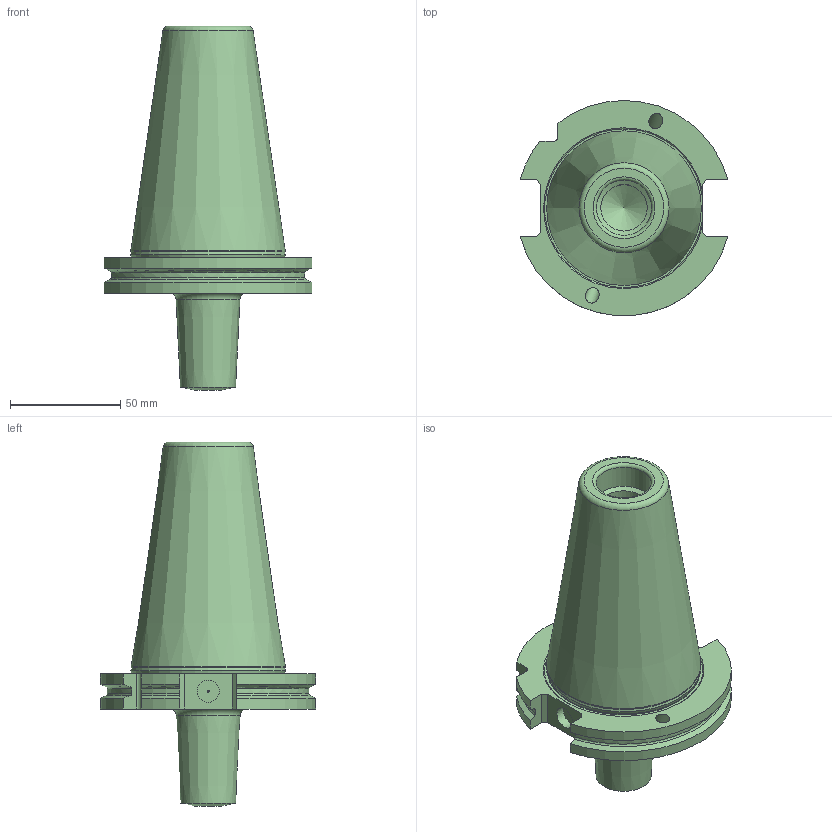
import cadquery as cq
import math


gauge_radius = 69.85 / 2
taper_length = 101.75
taper_slope = 7 / 48
taper_edge_fillet = 2.5

gauge_land = 0.5
neck_radius = 34.6
rib_radius = 35.0
rib_depth = 1.7
undercut_depth = 0.5
undercut_floor_radius = 35.9
undercut_mouth_radius = 36.4

flange_radius = 97.5 / 2
flange_top = -3.2
flange_thickness = 15.9
groove_center = -11.05
groove_floor_radius = 45.65
groove_half_width = 3.15
groove_flank_angle = 25.0
groove_floor_fillet = 1.0

keyway_width = 25.7
keyway_floor_left = 37.7
keyway_floor_right = 35.5
keyway_corner_chamfer = 2.0
notch_x = -29.9
notch_y = 30.3
notch_corner_fillet = 2.0

side_hole_diameter = 10.0
side_hole_depth = 4.0
center_mark_diameter = 0.8
center_mark_depth = 1.0

coolant_hole_diameter = 6.1
coolant_hole_circle_radius = 42.0
coolant_hole_position = 70.0
coolant_hole_tilt = 30.0

pilot_radius = 12.5
pilot_depth = 12.0
pilot_mouth_fillet = 1.5
thread_radius = 10.5
thread_lead_in = 1.15
thread_depth = 50.0
drill_point_angle = 118.0

nose_length = 63.0
nose_root_radius = 14.6
nose_tip_radius = 12.5
nose_root_fillet = 3.0
nose_cone_height = 1.3
nose_end_radius = 6.1

flange_bottom = flange_top - flange_thickness
nose_cone_start = nose_cone_height - nose_length


def taper_body():
    small_end_radius = gauge_radius - taper_length * taper_slope
    taper = (
        cq.Workplane("XZ")
        .moveTo(0, taper_length)
        .lineTo(small_end_radius, taper_length)
        .lineTo(gauge_radius, 0)
        .lineTo(gauge_radius, -gauge_land)
        .lineTo(neck_radius, -gauge_land)
        .lineTo(rib_radius, -rib_depth)
        .lineTo(neck_radius, flange_top)
        .lineTo(neck_radius, flange_bottom)
        .lineTo(0, flange_bottom)
        .close()
        .revolve(360, (0, 0, 0), (0, 1, 0))
    )
    return taper.faces(">Z").edges().fillet(taper_edge_fillet)


def flange():
    disc = (
        cq.Workplane("XY")
        .workplane(offset=flange_bottom)
        .circle(flange_radius)
        .extrude(flange_thickness)
    )
    undercut_floor = flange_top - undercut_depth
    undercut = (
        cq.Workplane("XZ")
        .moveTo(0, undercut_floor)
        .lineTo(undercut_floor_radius, undercut_floor)
        .lineTo(undercut_mouth_radius, flange_top)
        .lineTo(0, flange_top)
        .close()
        .revolve(360, (0, 0, 0), (0, 1, 0))
    )
    return disc.cut(undercut).cut(gripper_groove())


def gripper_groove():
    flank = math.radians(groove_flank_angle)
    floor_half_width = groove_half_width - (flange_radius - groove_floor_radius) * math.tan(flank)
    ring = (
        cq.Workplane("XZ")
        .moveTo(flange_radius, groove_center + groove_half_width)
        .lineTo(groove_floor_radius, groove_center + floor_half_width)
        .lineTo(groove_floor_radius, groove_center - floor_half_width)
        .lineTo(flange_radius, groove_center - groove_half_width)
        .close()
        .revolve(360, (0, 0, 0), (0, 1, 0))
    )
    floor_edges = cq.selectors.RadiusNthSelector(0)
    return ring.edges(floor_edges).fillet(groove_floor_fillet)


def nose():
    flare = nose_root_fillet
    side_slope = math.atan2(nose_root_radius - nose_tip_radius, flange_bottom - nose_cone_start)
    tangent_length = flare * math.tan((math.pi / 2 - side_slope) / 2)
    side_tangent_radius = nose_root_radius - tangent_length * math.sin(side_slope)
    side_tangent_z = flange_bottom - tangent_length * math.cos(side_slope)
    return (
        cq.Workplane("XZ")
        .moveTo(0, flange_bottom)
        .lineTo(nose_root_radius + tangent_length, flange_bottom)
        .radiusArc((side_tangent_radius, side_tangent_z), -flare)
        .lineTo(nose_tip_radius, nose_cone_start)
        .lineTo(nose_end_radius, -nose_length)
        .lineTo(0, -nose_length)
        .close()
        .revolve(360, (0, 0, 0), (0, 1, 0))
    )


def keyway(side, floor_distance):
    """Slot open to the rim, on the side given by the sign of X."""
    length = flange_radius - floor_distance
    slot = (
        cq.Workplane("XY")
        .box(length, keyway_width, flange_thickness)
        .translate((side * (floor_distance + length / 2), 0, (flange_top + flange_bottom) / 2))
    )
    inner_edges = "|Z and <X" if side > 0 else "|Z and >X"
    return slot.edges(inner_edges).chamfer(keyway_corner_chamfer)


def index_notch():
    notch = (
        cq.Workplane("XY")
        .workplane(offset=flange_bottom)
        .moveTo(notch_x, notch_y)
        .rect(-flange_radius, flange_radius, centered=False)
        .extrude(flange_thickness)
    )
    return notch.edges("|Z and >X and <Y").fillet(notch_corner_fillet)


def side_hole():
    """Flat-bottomed radial hole with a small mark at the center of its floor."""
    return (
        cq.Workplane("YZ", origin=(-keyway_floor_left, 0, groove_center))
        .circle(side_hole_diameter / 2)
        .extrude(side_hole_depth)
        .faces(">X")
        .workplane()
        .circle(center_mark_diameter / 2)
        .extrude(center_mark_depth)
    )


def coolant_hole(angle):
    """Hole through the flange that leans towards the tool axis as it goes down."""
    overshoot = coolant_hole_diameter
    through_length = flange_thickness / math.cos(math.radians(coolant_hole_tilt))
    hole = (
        cq.Workplane("XY")
        .workplane(offset=overshoot)
        .circle(coolant_hole_diameter / 2)
        .extrude(-through_length - 2 * overshoot)
        .rotate((0, 0, 0), (0, 1, 0), coolant_hole_tilt)
        .translate((coolant_hole_circle_radius, 0, flange_top))
    )
    return hole.rotate((0, 0, 0), (0, 0, 1), angle)


def pull_stud_bore():
    pilot_floor = taper_length - pilot_depth
    pilot = (
        cq.Workplane("XZ")
        .moveTo(0, taper_length)
        .lineTo(pilot_radius + pilot_mouth_fillet, taper_length)
        .radiusArc((pilot_radius, taper_length - pilot_mouth_fillet), -pilot_mouth_fillet)
        .lineTo(pilot_radius, pilot_floor)
        .lineTo(thread_radius, pilot_floor - thread_lead_in)
        .lineTo(0, pilot_floor - thread_lead_in)
        .close()
        .revolve(360, (0, 0, 0), (0, 1, 0))
    )
    thread_floor = taper_length - thread_depth
    point_length = thread_radius / math.tan(math.radians(drill_point_angle / 2))
    thread = (
        cq.Workplane("XZ")
        .moveTo(0, taper_length)
        .lineTo(thread_radius, taper_length)
        .lineTo(thread_radius, thread_floor)
        .lineTo(0, thread_floor - point_length)
        .close()
        .revolve(360, (0, 0, 0), (0, 1, 0))
    )
    return pilot.union(thread)


cut_flange = (
    flange()
    .cut(keyway(-1, keyway_floor_left))
    .cut(keyway(1, keyway_floor_right))
    .cut(index_notch())
)
body = taper_body().union(cut_flange).union(nose())
result = body.cut(side_hole()).cut(pull_stud_bore())
for turn in (0, 180):
    result = result.cut(coolant_hole(coolant_hole_position + turn))